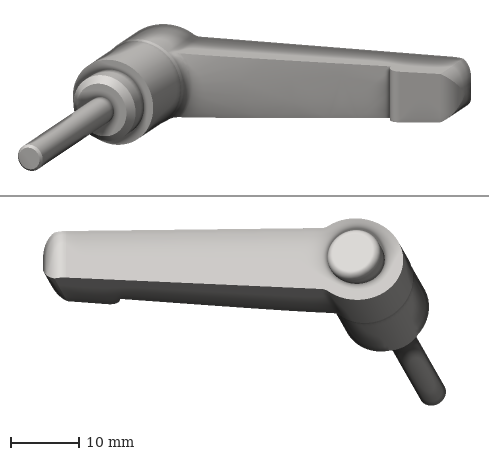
import cadquery as cq
import math

OVERALL_LENGTH = 59.0
STUD_RADIUS = 2.0
STUD_CHAMFER = 0.35
COLLAR_RADIUS = 5.0
COLLAR_CHAMFER = 1.0
COLLAR_START = 25.0
SLEEVE_RADIUS = 6.5
SLEEVE_START = 29.0
SLEEVE_END = 38.6
HUB_RADIUS = 6.6
HUB_START = 39.2
BUTTON_RADIUS = 4.0
BUTTON_TOP = 49.45
BUTTON_FILLET = 1.0
LEVER_HEIGHT = 21.25

TOP_ANGLE = math.radians(16)
TOP_SLOPE = math.tan(TOP_ANGLE)
UNDERSIDE_ANGLE = math.radians(20)
ARM_END = 45.0
NOTCH_X = 34.9
NOTCH_Y = 50.35
BUMP_RADIUS = 1.55
TIP_TOP_RADIUS = 3.25
TIP_BOTTOM_RADIUS = 3.6

CREST_X = ARM_END - TIP_TOP_RADIUS
CREST_SLOPE_HEIGHT = OVERALL_LENGTH + TIP_TOP_RADIUS * (1 / math.cos(TOP_ANGLE) - 1)
HUB_EDGE_HEIGHT = CREST_SLOPE_HEIGHT - (CREST_X + HUB_RADIUS) * TOP_SLOPE

ROOT_X = 6.2
ROOT_HALF_WIDTH = 4.9
DOME_START = 42.6
DOME_HALF_WIDTH = 3.7
SIDE_FILLET = 1.6


def top_height(x):
    """Height of the sloping top face at position x."""
    return HUB_EDGE_HEIGHT + (x + HUB_RADIUS) * TOP_SLOPE


def make_stem():
    """Stud, collar, sleeve and push button turned about the Y axis."""
    outline = (
        cq.Workplane("XY")
        .lineTo(STUD_RADIUS - STUD_CHAMFER, 0)
        .lineTo(STUD_RADIUS, STUD_CHAMFER)
        .lineTo(STUD_RADIUS, COLLAR_START)
        .lineTo(COLLAR_RADIUS - COLLAR_CHAMFER, COLLAR_START)
        .lineTo(COLLAR_RADIUS, COLLAR_START + COLLAR_CHAMFER)
        .lineTo(COLLAR_RADIUS, SLEEVE_START)
        .lineTo(SLEEVE_RADIUS, SLEEVE_START)
        .lineTo(SLEEVE_RADIUS, SLEEVE_END)
        .lineTo(HUB_RADIUS, HUB_START)
        .lineTo(BUTTON_RADIUS, HUB_START)
        .lineTo(BUTTON_RADIUS, BUTTON_TOP)
        .lineTo(0, BUTTON_TOP)
        .close()
    )
    stem = outline.revolve(360, (0, 0), (0, 1))
    return stem.faces(">Y").edges().fillet(BUTTON_FILLET)


def make_plan_prism():
    """Hub circle and tapered, round-ended arm seen along Y, with blended arm roots."""
    taper = (ROOT_HALF_WIDTH - DOME_HALF_WIDTH) / (DOME_START - ROOT_X)
    axis_half_width = ROOT_HALF_WIDTH + taper * ROOT_X
    arm = (
        cq.Workplane("XZ", origin=(0, HUB_START, 0))
        .moveTo(0, -axis_half_width)
        .lineTo(DOME_START, -DOME_HALF_WIDTH)
        .threePointArc((ARM_END, 0), (DOME_START, DOME_HALF_WIDTH))
        .lineTo(0, axis_half_width)
        .close()
        .extrude(-LEVER_HEIGHT)
    )
    hub = cq.Workplane("XZ", origin=(0, HUB_START, 0)).circle(HUB_RADIUS).extrude(-LEVER_HEIGHT)
    root_sides = cq.selectors.BoxSelector(
        (0, HUB_START, -HUB_RADIUS),
        (ROOT_X, HUB_START + LEVER_HEIGHT, HUB_RADIUS),
    )
    return hub.union(arm).edges("|Y").edges(root_sides).fillet(SIDE_FILLET)


def make_side_prism():
    """Sloping top face and rounded tip, with the finger bump below."""
    bump_center_x = NOTCH_X + BUMP_RADIUS

    def bump_point(angle):
        return (
            bump_center_x + BUMP_RADIUS * math.cos(angle),
            NOTCH_Y + BUMP_RADIUS * math.sin(angle),
        )

    bump_end_angle = UNDERSIDE_ANGLE - math.pi / 2
    bump_end = bump_point(bump_end_angle)
    bump_middle = bump_point((bump_end_angle - math.pi) / 2)
    end_low = bump_end[1] + (ARM_END - bump_end[0]) * math.tan(UNDERSIDE_ANGLE)
    prism = (
        cq.Workplane("XY")
        .moveTo(-HUB_RADIUS, HUB_EDGE_HEIGHT)
        .lineTo(-HUB_RADIUS, HUB_START)
        .lineTo(NOTCH_X, HUB_START)
        .lineTo(NOTCH_X, NOTCH_Y)
        .threePointArc(bump_middle, bump_end)
        .lineTo(ARM_END, end_low)
        .lineTo(ARM_END, top_height(ARM_END))
        .close()
        .extrude(HUB_RADIUS, both=True)
    )
    prism = prism.faces(">X").edges("|Z").edges(">Y").fillet(TIP_TOP_RADIUS)
    return prism.faces(">X").edges("|Z").edges("<Y").fillet(TIP_BOTTOM_RADIUS)


def make_underside_cut():
    """Space below the conical arm underside, turned about the hub and ending at the notch."""
    underside_slope = math.tan(UNDERSIDE_ANGLE)
    corner_height = NOTCH_Y + (HUB_RADIUS - NOTCH_X) * underside_slope
    blend_length = corner_height - HUB_START
    blend_end_x = HUB_RADIUS + blend_length * math.cos(UNDERSIDE_ANGLE)
    blend_end_y = corner_height + blend_length * math.sin(UNDERSIDE_ANGLE)
    outer_height = NOTCH_Y + (ARM_END - NOTCH_X) * underside_slope
    ring = (
        cq.Workplane("XY")
        .moveTo(HUB_RADIUS, SLEEVE_END)
        .lineTo(HUB_RADIUS, HUB_START)
        .tangentArcPoint((blend_end_x, blend_end_y), relative=False)
        .lineTo(ARM_END, outer_height)
        .lineTo(ARM_END, SLEEVE_END)
        .close()
        .revolve(360, (0, 0), (0, 1))
    )
    arm_span = (
        cq.Workplane("XY", origin=(0, SLEEVE_END, 0))
        .rect(2 * NOTCH_X, 2 * LEVER_HEIGHT)
        .extrude(HUB_RADIUS, both=True)
    )
    return ring.intersect(arm_span)


def make_lever():
    """Hub and arm in one piece."""
    return make_plan_prism().intersect(make_side_prism()).cut(make_underside_cut())


result = make_stem().union(make_lever())